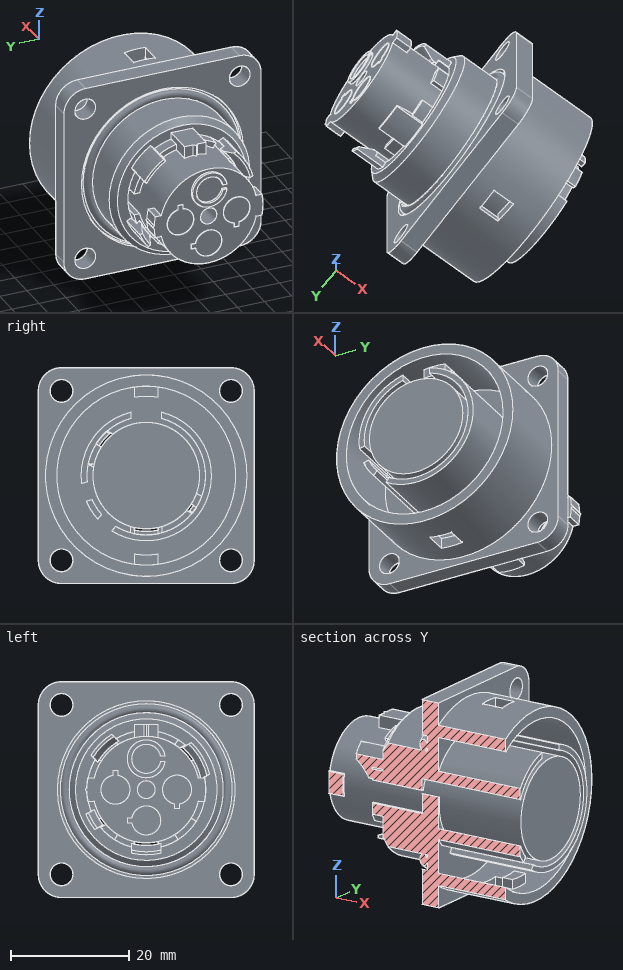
import cadquery as cq
import math


flange_size = 36.5
flange_thickness = 3.4
flange_corner_radius = 4.0
mount_hole_diameter = 3.8
mount_hole_pitch = 28.6

sleeve_front = -8.0
sleeve_diameter = 26.0
sleeve_bore_diameter = 20.0
sleeve_chamfer = 1.05

groove_diameter = 30.0
groove_depth = 1.0
seal_section_radius = 0.8
seal_outer_diameter = 29.0
seal_protrusion = 0.5
seal_center_radius = seal_outer_diameter / 2 - seal_section_radius
seal_center_x = seal_section_radius - seal_protrusion

barrel_end = 17.0
barrel_diameter = 34.0
barrel_bore_diameter = 30.2
window_start = 7.45
window_length_left = 3.8
window_length_right = 4.1
window_width = 4.0
bayonet_inner_radius = 13.4
bayonet_length = 2.0

tube_end = 20.0
tube_diameter = 22.0
tube_slots = [(90, 5.1), (195, 3.1), (230, 3.1)]

insert_front = -19.0
insert_diameter = 18.0
insert_radius = insert_diameter / 2
center_hole_diameter = 3.0
center_hole_depth = 10.0

lug_length = 3.0
lug_width = 4.0
lug_radius = 10.07
lug_rib_half_width = 0.35
lug_rib_height = 0.2

tab_front = -10.1
tab_radius = sleeve_bore_diameter / 2
tab_gap_width = 4.0
tab_span_angle = 32.4

key_front = -13.5
key_width = 4.0
key_height = 11.0
key_rib_half_width = 0.4
key_rib_depth = 0.4

fingers = [(150, 6.15, True), (45, 5.0, False), (-30, 3.0, True), (-90, 5.0, True)]
finger_front = -13.4
finger_outer_radius = 11.0
finger_inner_radius = 9.4
finger_tip_inner_radius = 10.5
finger_ramp_end = -10.85
finger_tab_clearance = 0.08
finger_opening_clearance = 0.15

contact_circle_radius = 5.2
contact_diameter = 4.9
contact_recess_depth = 0.1
contact_notch_width = 0.9
contact_notch_reach = 3.2
ring_contact_angle = 90
ring_height = 0.5
plain_contact_angles = [0, 180, 270]

overlap = 0.5
far = 40.0


def cylinder(x_start, x_end, diameter):
    return cq.Workplane("YZ", origin=(x_start, 0, 0)).circle(diameter / 2).extrude(x_end - x_start)


def tube(x_start, x_end, outer_diameter, inner_diameter):
    return cylinder(x_start, x_end, outer_diameter).cut(cylinder(x_start, x_end, inner_diameter))


def around_axis(shape, angle):
    return shape.rotate((0, 0, 0), (1, 0, 0), angle)


def radial_block(x_start, x_end, angle, width, inner_radius, outer_radius):
    """Box with parallel sides that points away from the axis at the given angle."""
    length = x_end - x_start
    box = cq.Workplane("XY").box(length, outer_radius - inner_radius, width, centered=(False, False, True))
    return around_axis(box.translate((x_start, inner_radius, 0)), angle)


def make_flange():
    flange = cq.Workplane("YZ").rect(flange_size, flange_size).extrude(flange_thickness)
    flange = flange.edges("|X").fillet(flange_corner_radius)
    holes = (
        cq.Workplane("YZ")
        .rect(mount_hole_pitch, mount_hole_pitch, forConstruction=True)
        .vertices()
        .circle(mount_hole_diameter / 2)
        .extrude(flange_thickness)
    )
    return flange.cut(holes).cut(tube(0, groove_depth, groove_diameter, sleeve_diameter))


def make_seal():
    center = cq.Vector(seal_center_x, 0, 0)
    axis = cq.Vector(1, 0, 0)
    return cq.Workplane(cq.Solid.makeTorus(seal_center_radius, seal_section_radius, center, axis))


def make_sleeve():
    sleeve = cylinder(sleeve_front, flange_thickness, sleeve_diameter)
    sleeve = sleeve.faces("<X").chamfer(sleeve_chamfer)
    return sleeve.cut(cylinder(sleeve_front, 0, sleeve_bore_diameter))


def make_barrel():
    """Open rear barrel with a wall window and an inner bayonet lug behind it, at the top and bottom."""
    barrel = tube(flange_thickness, barrel_end, barrel_diameter, barrel_bore_diameter)
    half_width = window_width / 2
    edge_left = window_start + window_length_left
    edge_right = window_start + window_length_right
    lug_end = edge_right + bayonet_length
    bottom_plane = cq.Workplane("XY", origin=(0, 0, -far / 2))
    window = (
        bottom_plane.moveTo(window_start, -half_width)
        .lineTo(edge_right, -half_width)
        .lineTo(edge_left, half_width)
        .lineTo(window_start, half_width)
        .close()
        .extrude(far)
    )
    lug_outline = (
        bottom_plane.moveTo(edge_right, -half_width)
        .lineTo(lug_end, -half_width)
        .lineTo(lug_end, half_width)
        .lineTo(edge_left, half_width)
        .close()
        .extrude(far)
    )
    lugs = tube(window_start, lug_end, barrel_bore_diameter + overlap, 2 * bayonet_inner_radius)
    return barrel.cut(window).union(lugs.intersect(lug_outline))


def make_rear_tube():
    rear_tube = tube(flange_thickness, tube_end, tube_diameter, sleeve_bore_diameter)
    for angle, width in tube_slots:
        rear_tube = rear_tube.cut(
            radial_block(flange_thickness, tube_end, angle, width, insert_radius, tube_diameter / 2 + overlap)
        )
    return rear_tube


def make_lugs():
    """Two opposite side lugs; the one on +Y carries a fine pointed rib."""
    lug_end = insert_front + lug_length
    disc = cylinder(insert_front, lug_end, 2 * lug_radius)
    bar = cq.Workplane("YZ", origin=(insert_front, 0, 0)).rect(far, lug_width).extrude(lug_length)
    rib = (
        cq.Workplane("YZ", origin=(insert_front, 0, 0))
        .moveTo(insert_radius, -lug_rib_half_width)
        .lineTo(lug_radius, -lug_rib_half_width)
        .lineTo(lug_radius + lug_rib_height, 0)
        .lineTo(lug_radius, lug_rib_half_width)
        .lineTo(insert_radius, lug_rib_half_width)
        .close()
        .extrude(lug_length)
    )
    return disc.intersect(bar).union(rib)


def make_tabs():
    """Eight tabs: a ring parted by four straight gaps on the axes and four angular gaps between."""
    tabs = tube(tab_front, 0, 2 * tab_radius, insert_diameter - 2 * overlap)
    half_gap = math.radians(45 - tab_span_angle)
    for quarter in range(4):
        tabs = tabs.cut(radial_block(tab_front, 0, 90 * quarter, tab_gap_width, 0, far))
        angular_gap = (
            cq.Workplane("YZ", origin=(tab_front, 0, 0))
            .polyline([(0, 0), (far, -far * math.tan(half_gap)), (far, far * math.tan(half_gap))])
            .close()
            .extrude(-tab_front)
        )
        tabs = tabs.cut(around_axis(angular_gap, 90 * quarter + 45))
    return tabs


def make_key():
    base_radius = insert_radius - overlap
    key = radial_block(key_front, sleeve_front, 90, key_width, base_radius, key_height)
    rib = (
        cq.Workplane("XY", origin=(0, 0, base_radius))
        .polyline(
            [
                (key_front, -key_rib_half_width),
                (key_front - key_rib_depth, 0),
                (key_front, key_rib_half_width),
            ]
        )
        .close()
        .extrude(key_height - base_radius)
    )
    return key.union(rib)


def make_finger(angle, width):
    """Latch finger with a thin tip, an inner ramp and a relieved root that clears the tabs."""
    root_radius = tab_radius + finger_tab_clearance
    ring = (
        cq.Workplane("XY")
        .moveTo(finger_front, finger_tip_inner_radius)
        .lineTo(finger_front, finger_outer_radius)
        .lineTo(sleeve_front + overlap, finger_outer_radius)
        .lineTo(sleeve_front + overlap, root_radius)
        .lineTo(tab_front, root_radius)
        .lineTo(tab_front, finger_inner_radius)
        .lineTo(finger_ramp_end, finger_inner_radius)
        .close()
        .revolve(360, (0, 0), (1, 0))
    )
    return ring.intersect(radial_block(finger_front, 0, angle, width, 0, far))


def make_finger_opening(angle, width):
    """Passage through the wall behind a finger, between the insert and the sleeve bore."""
    block = radial_block(0, flange_thickness, angle, width + 2 * finger_opening_clearance, 0, far)
    return tube(0, flange_thickness, sleeve_bore_diameter, insert_diameter).intersect(block)


def contact_outline(x_start, length, diameter):
    """Disc on the contact circle at angle 0."""
    return (
        cq.Workplane("YZ", origin=(x_start, 0, 0))
        .center(contact_circle_radius, 0)
        .circle(diameter / 2)
        .extrude(length)
    )


def contact_notch(x_start, length):
    """Locating notch of the contact at angle 0, running tangentially from its centre."""
    return (
        cq.Workplane("YZ", origin=(x_start, 0, 0))
        .center(contact_circle_radius, contact_notch_reach / 2)
        .rect(contact_notch_width, contact_notch_reach)
        .extrude(length)
    )


def make_contact_recess(angle):
    recess = contact_outline(insert_front, contact_recess_depth, contact_diameter)
    recess = recess.union(contact_notch(insert_front, contact_recess_depth))
    return around_axis(recess, angle)


def make_contact_ring():
    """Raised collar around one contact, split at the locating notch."""
    ring_front = insert_front - ring_height
    ring = contact_outline(ring_front, ring_height, 2 * contact_notch_reach)
    ring = ring.cut(contact_outline(ring_front, ring_height, contact_diameter))
    ring = ring.cut(contact_notch(ring_front, ring_height))
    return around_axis(ring, ring_contact_angle)


def make_insert():
    insert = cylinder(insert_front, tube_end, insert_diameter)
    insert = insert.union(make_lugs()).union(make_tabs()).union(make_key()).union(make_contact_ring())
    for angle in plain_contact_angles:
        insert = insert.cut(make_contact_recess(angle))
    return insert.cut(cylinder(insert_front, insert_front + center_hole_depth, center_hole_diameter))


housing = make_flange().union(make_sleeve())
housing = housing.union(make_seal()).union(make_barrel()).union(make_rear_tube())
for finger_angle, finger_width, open_behind in fingers:
    housing = housing.union(make_finger(finger_angle, finger_width))
    if open_behind:
        housing = housing.cut(make_finger_opening(finger_angle, finger_width))

result = housing.union(make_insert())